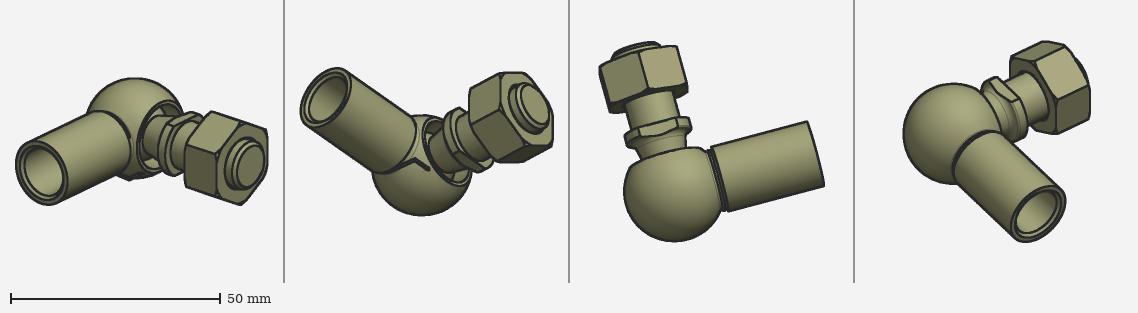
import cadquery as cq
import math


shank_diameter = 16.0
thread_diameter = 12.0
overall_length = 47.9
overall_depth = 46.9

housing_diameter = 24.0
flat_x = 8.0
shank_start_y = -11.3
neck_end_radius = 7.45
neck_waist_radius = 7.0
bore_depth = 19.15
bore_tip_angle = 118.0
bore_mouth_diameter = 13.55

ball_diameter = 16.0
taper_end_x = 12.0
taper_end_radius = 6.05
taper_angle = 12.0
collar_face_x = 13.4
collar_end_x = 16.0
collar_diameter = 16.0
collar_edge_rounding = 0.5
collar_across_flats = 13.0
stud_tip_chamfer = 0.85

nut_start_x = 23.25
nut_thickness = 10.0
nut_across_flats = 19.0
nut_face_diameter = 20.2
nut_chamfer_angle = 30.0
nut_countersink_diameter = 12.95

wire_diameter = 0.6
clip_hole_diameter = 0.7
clip_start_angle = 23.0
clip_leg_x = 6.8
clip_leg_z = -7.85
clip_leg_end_y = -3.85

housing_radius = housing_diameter / 2
stud_end_x = overall_length - housing_radius
shank_end_y = housing_radius - overall_depth
ball_radius = ball_diameter / 2
thread_radius = thread_diameter / 2
neck_start_y = -math.sqrt(housing_radius**2 - neck_end_radius**2)
neck_waist_y = (neck_start_y + shank_start_y) / 2
clip_radius = neck_waist_radius + wire_diameter / 2


def socket_cavity():
    """Round-bottomed pocket that holds the ball, open at the flat face."""
    ball_seat = cq.Workplane("XY").sphere(ball_radius)
    mouth = cq.Workplane("YZ").circle(ball_radius).extrude(flat_x)
    return ball_seat.union(mouth)


def threaded_bore():
    """Drilled hole with a conical tip and a countersunk mouth, along the shank axis."""
    mouth_radius = bore_mouth_diameter / 2
    countersink_depth = mouth_radius - thread_radius
    bore_end_y = shank_end_y + bore_depth
    tip_y = bore_end_y + thread_radius / math.tan(math.radians(bore_tip_angle / 2))
    return (
        cq.Workplane("XY")
        .moveTo(0, shank_end_y)
        .lineTo(mouth_radius, shank_end_y)
        .lineTo(thread_radius, shank_end_y + countersink_depth)
        .lineTo(thread_radius, bore_end_y)
        .lineTo(0, tip_y)
        .close()
        .revolve(360, (0, 0, 0), (0, 1, 0))
    )


def clip_hole():
    """Blind hole that takes the bent end of the safety clip."""
    return (
        cq.Workplane("XZ", origin=(clip_leg_x, clip_leg_end_y, clip_leg_z))
        .circle(clip_hole_diameter / 2)
        .extrude(clip_leg_end_y - neck_start_y)
    )


def make_housing():
    """Spherical head with a flat mouth, a waisted neck and a bored shank."""
    outer = (
        cq.Workplane("XY")
        .moveTo(0, housing_radius)
        .threePointArc((housing_radius, 0), (neck_end_radius, neck_start_y))
        .threePointArc((neck_waist_radius, neck_waist_y), (neck_end_radius, shank_start_y))
        .lineTo(shank_diameter / 2, shank_start_y)
        .lineTo(shank_diameter / 2, shank_end_y)
        .lineTo(0, shank_end_y)
        .close()
        .revolve(360, (0, 0, 0), (0, 1, 0))
    )
    beyond_flat = (
        cq.Workplane("YZ", origin=(flat_x, 0, 0))
        .circle(housing_radius)
        .extrude(housing_radius)
    )
    return outer.cut(beyond_flat).cut(socket_cavity()).cut(threaded_bore()).cut(clip_hole())


def make_stud():
    """Ball, tapered neck, flatted collar and threaded end in one turned piece."""
    slope = math.tan(math.radians(taper_angle))
    axis_offset = taper_end_radius - slope * taper_end_x
    half_b = slope * axis_offset
    leading = 1 + slope**2
    root = math.sqrt(half_b**2 - leading * (axis_offset**2 - ball_radius**2))
    taper_start_x = (root - half_b) / leading
    taper_start_radius = axis_offset + slope * taper_start_x

    collar_radius = collar_diameter / 2
    turned = (
        cq.Workplane("XY")
        .moveTo(-ball_radius, 0)
        .threePointArc((0, ball_radius), (taper_start_x, taper_start_radius))
        .lineTo(taper_end_x, taper_end_radius)
        .tangentArcPoint((collar_face_x, collar_radius - collar_edge_rounding), relative=False)
        .tangentArcPoint((collar_face_x + collar_edge_rounding, collar_radius), relative=False)
        .lineTo(collar_end_x, collar_radius)
        .lineTo(collar_end_x, thread_radius)
        .lineTo(stud_end_x - stud_tip_chamfer, thread_radius)
        .lineTo(stud_end_x, thread_radius - stud_tip_chamfer)
        .lineTo(stud_end_x, 0)
        .close()
        .revolve(360, (0, 0, 0), (1, 0, 0))
    )
    collar_length = collar_end_x - taper_end_x
    for side in (1, -1):
        cutter_centre_z = side * (collar_across_flats + collar_diameter) / 2
        flat_cutter = (
            cq.Workplane("XY", origin=(taper_end_x + collar_length / 2, 0, cutter_centre_z))
            .box(collar_length, collar_diameter, collar_diameter)
        )
        turned = turned.cut(flat_cutter)
    return turned


def make_nut():
    """Hexagon nut with corners on the Z axis, chamfered and countersunk at both ends."""
    across_corners = nut_across_flats / math.cos(math.radians(30))
    corner_radius = across_corners / 2
    face_radius = nut_face_diameter / 2
    chamfer_length = (corner_radius - face_radius) * math.tan(math.radians(nut_chamfer_angle))
    nut_end_x = nut_start_x + nut_thickness
    blank = (
        cq.Workplane("YZ", origin=(nut_start_x, 0, 0))
        .polygon(6, across_corners)
        .extrude(nut_thickness)
        .rotate((0, 0, 0), (1, 0, 0), 90)
    )
    corner_envelope = (
        cq.Workplane("XY")
        .moveTo(nut_start_x, 0)
        .lineTo(nut_start_x, face_radius)
        .lineTo(nut_start_x + chamfer_length, corner_radius)
        .lineTo(nut_end_x - chamfer_length, corner_radius)
        .lineTo(nut_end_x, face_radius)
        .lineTo(nut_end_x, 0)
        .close()
        .revolve(360, (0, 0, 0), (1, 0, 0))
    )
    countersink_depth = (nut_countersink_diameter - thread_diameter) / 2
    hole = (
        cq.Workplane("XY")
        .moveTo(nut_start_x, 0)
        .lineTo(nut_start_x, nut_countersink_diameter / 2)
        .lineTo(nut_start_x + countersink_depth, thread_radius)
        .lineTo(nut_end_x - countersink_depth, thread_radius)
        .lineTo(nut_end_x, nut_countersink_diameter / 2)
        .lineTo(nut_end_x, 0)
        .close()
        .revolve(360, (0, 0, 0), (1, 0, 0))
    )
    return blank.intersect(corner_envelope).cut(hole)


def make_clip():
    """Open wire ring in the neck, with a straight tangent tail bent into the housing."""
    def ring_point(angle):
        return cq.Vector(
            clip_radius * math.cos(angle),
            neck_waist_y,
            clip_radius * math.sin(angle),
        )

    bend_distance = math.hypot(clip_leg_x, clip_leg_z)
    bend_angle = math.atan2(clip_leg_z, clip_leg_x)
    tangent_angle = bend_angle - math.acos(clip_radius / bend_distance)
    start_angle = math.radians(clip_start_angle)
    end_angle = tangent_angle + 2 * math.pi
    bend = cq.Vector(clip_leg_x, neck_waist_y, clip_leg_z)
    leg_end = cq.Vector(clip_leg_x, clip_leg_end_y, clip_leg_z)

    ring = cq.Edge.makeThreePointArc(
        ring_point(start_angle),
        ring_point((start_angle + end_angle) / 2),
        ring_point(end_angle),
    )
    tail = cq.Edge.makeLine(ring_point(end_angle), bend)
    leg = cq.Edge.makeLine(bend, leg_end)
    path = cq.Wire.assembleEdges([ring, tail, leg])

    start_plane = cq.Plane(
        origin=ring_point(start_angle),
        xDir=(0, 1, 0),
        normal=(-math.sin(start_angle), 0, math.cos(start_angle)),
    )
    return cq.Workplane(start_plane).circle(wire_diameter / 2).sweep(path, transition="right")


housing = make_housing()
stud = make_stud()
nut = make_nut()
clip = make_clip()

result = cq.Compound.makeCompound([housing.val(), stud.val(), nut.val(), clip.val()])